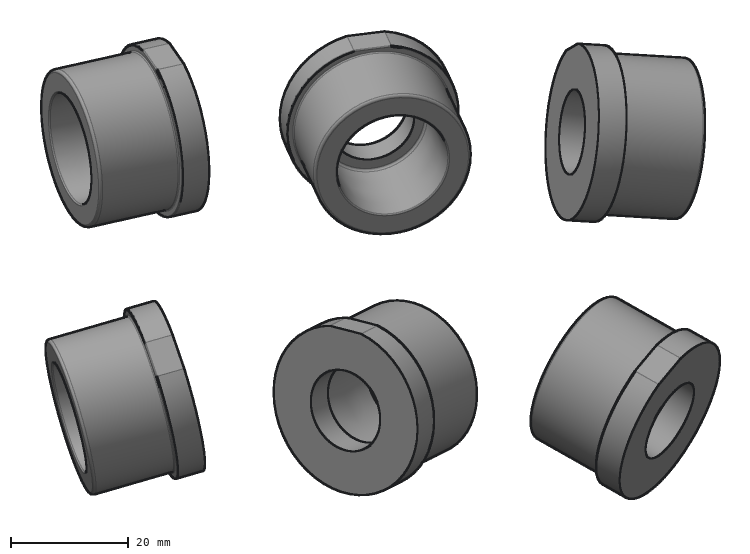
import cadquery as cq

flange_radius = 15.05
flange_thickness = 5.0
flat_height = 14.7
flange_edge_radius = 0.18

overall_length = 19.5
sleeve_radius = 13.75
sleeve_end_radius = 0.5
root_fillet_radius = 0.2

bore_mouth_radius = 9.7
bore_floor_radius = 9.45
bore_depth = overall_length - flange_thickness
mouth_fillet_radius = 0.25
floor_fillet_radius = 0.42
through_hole_radius = 7.25

mouth_y = -overall_length
shoulder_y = -flange_thickness
floor_y = mouth_y + bore_depth


def make_flange():
    """Disc with a flat on top and a rounded front edge."""
    disc = cq.Workplane("XZ").circle(flange_radius).extrude(flange_thickness)
    trim_block = cq.Workplane("XY").workplane(offset=flat_height).rect(
        2 * flange_radius, 4 * flange_thickness
    ).extrude(flange_radius)
    return disc.cut(trim_block).faces("<Y").edges().fillet(flange_edge_radius)


def make_sleeve():
    """Plain cylinder with a rounded free end."""
    sleeve = cq.Workplane("XZ").circle(sleeve_radius).extrude(overall_length)
    return sleeve.faces("<Y").edges().fillet(sleeve_end_radius)


def add_root_fillet(body):
    """Round the corner where the sleeve meets the flange shoulder."""
    edge_margin = 0.03
    half_side = sleeve_radius + edge_margin
    root_edges = cq.selectors.BoxSelector(
        (-half_side, shoulder_y - edge_margin, -half_side),
        (half_side, shoulder_y + edge_margin, half_side),
        boundingbox=True,
    )
    return body.edges(root_edges).fillet(root_fillet_radius)


def make_bore():
    """Tapered cavity with a rounded floor corner."""
    profile = [
        (0, mouth_y),
        (bore_mouth_radius, mouth_y),
        (bore_floor_radius, floor_y),
        (0, floor_y),
    ]
    cavity = cq.Workplane("XY").polyline(profile).close().revolve(360, (0, 0), (0, 1))
    return cavity.faces(">Y").edges().fillet(floor_fillet_radius)


def make_through_hole():
    return cq.Workplane("XZ").circle(through_hole_radius).extrude(overall_length)


body = add_root_fillet(make_flange().union(make_sleeve()))
body = body.cut(make_bore()).cut(make_through_hole())
mouth_edge = cq.selectors.RadiusNthSelector(0)
result = body.faces("<Y").edges(mouth_edge).fillet(mouth_fillet_radius)